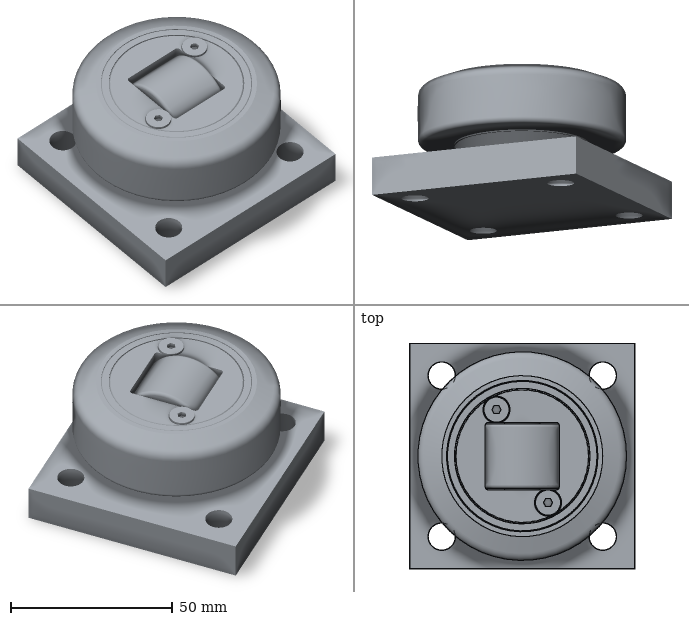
import cadquery as cq
import math

plate_side = 70.0
plate_thickness = 11.9
mount_hole_diameter = 8.4
mount_hole_pitch = 50.0

neck_radius = 42.0 / 2
neck_chamfer = 0.5
neck_top = 19.5

ring_bottom = 19.9
ring_top = 39.9
ring_radius = 64.8 / 2
ring_crown = 0.06
ring_top_flat_radius = 25.0
ring_top_slope = math.radians(20.8)
ring_top_round = 3.0
ring_bottom_round = 1.5

seal_groove = (47.0 / 2, 0.05, 0.25)
hub_groove = (42.1 / 2, 0.05, 0.4)

pocket_length = 23.0
pocket_width = 21.0
pocket_corner_radius = 1.0
pocket_floor_above_plate = 2.0
pocket_floor = plate_thickness + pocket_floor_above_plate

overall_height = 42.49
roller_radius = 14.0
roller_length = 20.0
roller_round = 1.0
roller_crown = 0.05
roller_axis_height = overall_height - roller_radius
axle_radius = 11.0 / 2

screw_positions = [(-8.0, 14.43), (8.0, -14.43)]
screw_head_radius = 7.8 / 2
countersink_radius = 8.38 / 2
countersink_depth = countersink_radius - screw_head_radius
screw_head_height = 0.5
hex_across_flats = 2.5
hex_depth = 1.5


def make_plate():
    """Square plate with four through holes on a square pattern."""
    return (
        cq.Workplane("XY")
        .rect(plate_side, plate_side)
        .extrude(plate_thickness)
        .faces(">Z")
        .workplane()
        .rect(mount_hole_pitch, mount_hole_pitch, forConstruction=True)
        .vertices()
        .hole(mount_hole_diameter)
    )


def make_neck():
    """Chamfered neck, topped by the inner ring that carries the bearing."""
    neck = (
        cq.Workplane("XY", origin=(0, 0, plate_thickness))
        .circle(neck_radius)
        .extrude(neck_top - plate_thickness)
        .edges()
        .chamfer(neck_chamfer)
    )
    inner_ring = (
        cq.Workplane("XY", origin=(0, 0, neck_top))
        .circle(neck_radius)
        .extrude(ring_top - neck_top)
    )
    return neck.union(inner_ring)


def make_bearing_ring():
    """Revolved bearing body: rounded lower edge, crowned face, rounded cone on top."""
    tangent_length = ring_top_round * math.tan((math.pi / 2 - ring_top_slope) / 2)
    edge_radius = ring_radius - ring_crown
    corner_height = ring_top - (edge_radius - ring_top_flat_radius) * math.tan(ring_top_slope)
    round_start = corner_height - tangent_length
    round_end_radius = edge_radius - tangent_length * math.cos(ring_top_slope)
    round_end_height = corner_height + tangent_length * math.sin(ring_top_slope)
    round_middle_angle = (math.pi / 2 - ring_top_slope) / 2
    round_middle = (
        edge_radius - ring_top_round * (1 - math.cos(round_middle_angle)),
        round_start + ring_top_round * math.sin(round_middle_angle),
    )
    face_start = ring_bottom + ring_bottom_round
    bottom_round_inset = ring_bottom_round * (1 - math.sqrt(0.5))
    return (
        cq.Workplane("XZ")
        .moveTo(0, ring_bottom)
        .lineTo(edge_radius - ring_bottom_round, ring_bottom)
        .threePointArc(
            (edge_radius - bottom_round_inset, ring_bottom + bottom_round_inset),
            (edge_radius, face_start),
        )
        .threePointArc((ring_radius, (face_start + round_start) / 2), (edge_radius, round_start))
        .threePointArc(round_middle, (round_end_radius, round_end_height))
        .lineTo(ring_top_flat_radius, ring_top)
        .lineTo(0, ring_top)
        .close()
        .revolve(360, (0, 0, 0), (0, 1, 0))
    )


def make_top_groove(outer_radius, floor_width, depth):
    """Groove with an upright outer wall and a 45 degree inner wall."""
    return (
        cq.Workplane("XZ")
        .moveTo(outer_radius, ring_top)
        .lineTo(outer_radius, ring_top - depth)
        .lineTo(outer_radius - floor_width, ring_top - depth)
        .lineTo(outer_radius - floor_width - depth, ring_top)
        .close()
        .revolve(360, (0, 0, 0), (0, 1, 0))
    )


def make_pocket():
    return (
        cq.Workplane("XY", origin=(0, 0, pocket_floor))
        .rect(pocket_length, pocket_width)
        .extrude(ring_top - pocket_floor)
        .edges("|Z")
        .fillet(pocket_corner_radius)
    )


def make_roller():
    """Crowned roller with rounded ends, on an axle that spans the pocket."""
    half_length = roller_length / 2
    edge_radius = roller_radius - roller_crown
    face_half_length = half_length - roller_round
    round_inset = roller_round * (1 - math.sqrt(0.5))
    body = (
        cq.Workplane("XY")
        .moveTo(0, -half_length)
        .lineTo(edge_radius - roller_round, -half_length)
        .threePointArc(
            (edge_radius - round_inset, -half_length + round_inset),
            (edge_radius, -face_half_length),
        )
        .threePointArc((roller_radius, 0), (edge_radius, face_half_length))
        .threePointArc(
            (edge_radius - round_inset, half_length - round_inset),
            (edge_radius - roller_round, half_length),
        )
        .lineTo(0, half_length)
        .close()
        .revolve(360, (0, 0, 0), (0, 1, 0))
    )
    axle = cq.Workplane("XZ").circle(axle_radius).extrude(pocket_width / 2, both=True)
    return body.union(axle).translate((0, 0, roller_axis_height))


def make_countersinks():
    """45 degree recesses that narrow down to the screw heads."""
    recess = cq.Solid.makeCone(screw_head_radius, countersink_radius, countersink_depth)
    return (
        cq.Workplane("XY", origin=(0, 0, ring_top - countersink_depth))
        .pushPoints(screw_positions)
        .eachpoint(lambda place: recess.moved(place))
    )


def make_screw_heads():
    return (
        cq.Workplane("XY", origin=(0, 0, ring_top - countersink_depth))
        .pushPoints(screw_positions)
        .circle(screw_head_radius)
        .extrude(countersink_depth + screw_head_height)
    )


def make_hex_sockets():
    across_corners = hex_across_flats / math.cos(math.pi / 6)
    return (
        cq.Workplane("XY", origin=(0, 0, ring_top + screw_head_height))
        .pushPoints(screw_positions)
        .polygon(6, across_corners)
        .extrude(-hex_depth)
    )


result = make_plate().union(make_neck()).union(make_bearing_ring())
for groove in (seal_groove, hub_groove):
    result = result.cut(make_top_groove(*groove))
result = result.cut(make_pocket()).union(make_roller())
result = result.cut(make_countersinks()).union(make_screw_heads()).cut(make_hex_sockets())